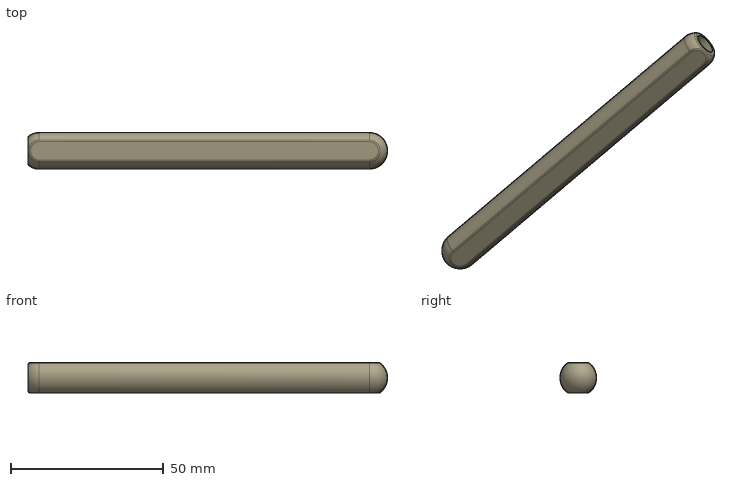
import cadquery as cq
import math

length = 118.0
diameter = 12.0
thickness = 10.0
mouth_diameter = 9.1
shoulder_length = 3.7
mouth_edge_radius = 0.7
flat_edge_radius = 1.0
bore_diameter = 6.8
bore_depth = 23.6
drill_point_angle = 118.0

radius = diameter / 2
mouth_radius = mouth_diameter / 2
bore_radius = bore_diameter / 2
dome_start = length - radius

shoulder_drop = radius - mouth_radius
shoulder_radius = (shoulder_length**2 + shoulder_drop**2) / (2 * shoulder_drop)
half_sweep = math.asin(shoulder_length / shoulder_radius) / 2
shoulder_middle = (
    shoulder_length - shoulder_radius * math.sin(half_sweep),
    radius - shoulder_radius * (1 - math.cos(half_sweep)),
)
dome_middle = (
    dome_start + radius * math.sin(math.pi / 4),
    radius * math.cos(math.pi / 4),
)


def revolve_about_x(half_profile):
    return half_profile.close().revolve(360, (0, 0, 0), (1, 0, 0))


def make_rod():
    """Round rod with a rounded shoulder at one end and a dome at the other."""
    return revolve_about_x(
        cq.Workplane("XY")
        .lineTo(0, mouth_radius)
        .threePointArc(shoulder_middle, (shoulder_length, radius))
        .lineTo(dome_start, radius)
        .threePointArc(dome_middle, (length, 0))
    )


def cut_flats(rod):
    """Trim the rod to two parallel flats and round their edges."""
    slab = cq.Workplane("XY").box(length, diameter, thickness).translate((length / 2, 0, 0))
    return rod.intersect(slab).faces("<Z or >Z").edges().fillet(flat_edge_radius)


def make_bore():
    """Blind drilled bore with a conical bottom."""
    point_length = bore_radius / math.tan(math.radians(drill_point_angle / 2))
    return revolve_about_x(
        cq.Workplane("XY")
        .lineTo(0, bore_radius)
        .lineTo(bore_depth, bore_radius)
        .lineTo(bore_depth + point_length, 0)
    )


flattened_rod = cut_flats(make_rod())
rounded_rod = flattened_rod.faces("<X").edges().fillet(mouth_edge_radius)
result = rounded_rod.cut(make_bore())